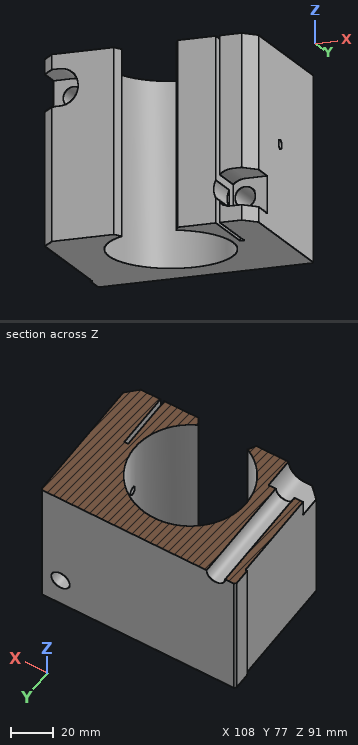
import cadquery as cq
import math

width = 108.0
depth = 77.0
height = 91.0
back_y = 45.0
front_y = back_y - depth
half_width = width / 2
half_height = height / 2

back_chamfer = 1.0
front_chamfer = 6.0
ledge_step = 1.0
ledge_length = 10.2

bore_radius = 31.0
mouth_half_width = 16.0
mouth_lip_angle = 60.0

slot_x = 36.0
slot_width = 1.9
slot_depth = 31.2

hole_x = 43.0
hole_edge_distance = 16.5
hole_z = half_height - hole_edge_distance
hole_diameter = 10.2
seat_radius = 9.1
seat_depth = 17.2

cross_hole_diameter = 4.3
cross_hole_y = 1.7


def make_block():
    left_x = ledge_step - half_width
    outline = [
        (-half_width, back_y - back_chamfer),
        (back_chamfer - half_width, back_y),
        (half_width - back_chamfer, back_y),
        (half_width, back_y - back_chamfer),
        (half_width, front_y + front_chamfer),
        (half_width - front_chamfer, front_y),
        (left_x + front_chamfer, front_y),
        (left_x, front_y + front_chamfer),
        (left_x, back_y - ledge_length),
        (-half_width, back_y - ledge_length),
    ]
    return cq.Workplane("XY").polyline(outline).close().extrude(half_height, both=True)


def make_bore():
    bore = cq.Workplane("XY").circle(bore_radius).extrude(half_height, both=True)
    apex_y = front_y + mouth_half_width * math.tan(math.radians(mouth_lip_angle))
    mouth = (
        cq.Workplane("XY")
        .polyline([(-mouth_half_width, front_y), (mouth_half_width, front_y), (0, apex_y)])
        .close()
        .extrude(half_height, both=True)
    )
    return bore.union(mouth)


def make_slot():
    return cq.Workplane("XY").box(slot_width, slot_depth, height).translate(
        (slot_x, front_y + slot_depth / 2, 0)
    )


def make_mounting_cut(side):
    """Hole and seat at the left top (side = -1) or right bottom (side = 1)."""
    x = side * hole_x
    z = -side * hole_z
    front = cq.Workplane("XZ", origin=(x, front_y, z))
    hole = front.circle(hole_diameter / 2).extrude(-depth)
    seat = front.circle(seat_radius).extrude(-seat_depth)
    opening_length = half_width - hole_x
    opening = (
        front.center(side * opening_length / 2, 0)
        .rect(opening_length, 2 * seat_radius)
        .extrude(-seat_depth)
    )
    return hole.union(seat).union(opening)


def make_cross_hole():
    return (
        cq.Workplane("YZ")
        .center(cross_hole_y, 0)
        .circle(cross_hole_diameter / 2)
        .extrude(half_width)
    )


result = make_block().cut(make_bore()).cut(make_slot()).cut(make_cross_hole())
for corner_side in (-1, 1):
    result = result.cut(make_mounting_cut(corner_side))